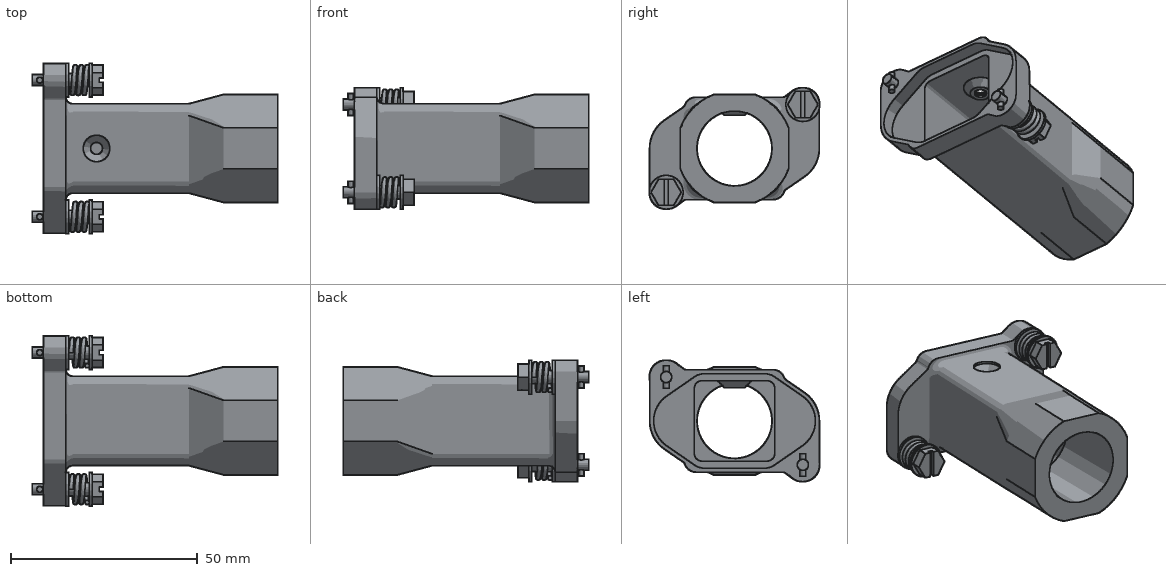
import cadquery as cq
import math


FLANGE_THICKNESS = 6.0
FLANGE_HALF_WIDTH = 22.75
FLANGE_HALF_HEIGHT = 13.75
SCREW_Y = 18.3
SCREW_Z = 11.75
LUG_RADIUS = 4.55
LUG_Y = FLANGE_HALF_WIDTH - LUG_RADIUS
NECK_ANGLE = math.radians(37.0)
NECK_FILLET = 0.9
SIDE_SLOPE = math.radians(34.6)
SIDE_RADIUS = 9.2
SIDE_CENTRE_Y = FLANGE_HALF_WIDTH - SIDE_RADIUS
SHOULDER_RADIUS = 3.2
SHOULDER_FILLET = 1.2
SHOULDER_Y = 10.28
SHOULDER_Z = FLANGE_HALF_HEIGHT - SHOULDER_RADIUS

RIM_WIDTH = 1.1
POCKET_DEPTH = 3.7
POCKET_RADIUS = SIDE_RADIUS - RIM_WIDTH
POCKET_HALF_HEIGHT = FLANGE_HALF_HEIGHT - RIM_WIDTH
POCKET_CORNER_RADIUS = 4.6

TUBE_HALF = 12.0
TUBE_CORNER_RADIUS = 3.2
TUBE_ROOT_FILLET = 1.9
TUBE_END_X = 39.0
COLLAR_START_X = 48.3
HOUSING_END_X = 62.8
COLLAR_RADIUS = 15.5
COLLAR_FLAT_HALF = 5.5
COLLAR_HALF = math.sqrt(COLLAR_RADIUS**2 - COLLAR_FLAT_HALF**2)
CAVITY_HALF = 10.75
CAVITY_CORNER_RADIUS = 2.0
BORE_DIAMETER = 20.0

SINK_X = 14.25
SINK_RADIUS = 3.55
SINK_RIM_DEPTH = 0.6
SINK_HOLE_RADIUS = 1.6
SINK_BOSS_TOP_RADIUS = 4.53
SINK_BOSS_BOTTOM_RADIUS = 2.75
SINK_BOSS_BOTTOM_Z = 8.85

PIN_DIAMETER = 3.0
PIN_TIP_X = -3.0
CROSS_PIN_DIAMETER = 1.6
CROSS_PIN_LENGTH = 6.0
CROSS_PIN_X = -0.95
WASHER_RADIUS = 4.55
FLANGE_WASHER_END_X = FLANGE_THICKNESS + 0.85
HEAD_WASHER_X = 12.3
HEAD_X = 13.05
HEAD_END_X = 16.0
HEAD_ACROSS_FLATS = 7.0
SLOT_WIDTH = 1.1
SLOT_DEPTH = 1.0
SHANK_DIAMETER = 3.6
SPRING_MEAN_RADIUS = 3.53
SPRING_WIRE_RADIUS = 0.6
SPRING_TURNS = 2.75
SPRING_BITE = 0.05

SCREW_PLACES = [(SCREW_Y, SCREW_Z), (-SCREW_Y, -SCREW_Z)]


def plane_at(x):
    """Workplane across the axis: local x is world Y, local y is world Z."""
    return cq.Workplane("YZ", origin=(x, 0, 0))


def polar(centre, radius, angle):
    """Point on a circle, with the angle measured from +Z toward -Y."""
    return (centre[0] - radius * math.sin(angle), centre[1] + radius * math.cos(angle))


def quarter_turned(point, quarters):
    """The point turned about the X axis by a number of 90 degree steps."""
    y, z = point
    for _ in range(quarters):
        y, z = -z, y
    return (y, z)


def flange_blank(depth):
    """Flange outline: two opposite screw lugs and two sloped, rounded sides."""
    lug = (LUG_Y, SCREW_Z)
    lug_side = polar(lug, LUG_RADIUS, -math.pi / 2)
    lug_middle = polar(lug, LUG_RADIUS, 0)
    neck_start = polar(lug, LUG_RADIUS, NECK_ANGLE)

    neck_corner_y = neck_start[0] - (neck_start[1] - FLANGE_HALF_HEIGHT) / math.tan(NECK_ANGLE)
    neck_tangent = NECK_FILLET * math.tan(NECK_ANGLE / 2)
    neck_end = (
        neck_corner_y + neck_tangent * math.cos(NECK_ANGLE),
        FLANGE_HALF_HEIGHT + neck_tangent * math.sin(NECK_ANGLE),
    )
    flat_start = (neck_corner_y - neck_tangent, FLANGE_HALF_HEIGHT)

    shoulder = (-SHOULDER_Y, SHOULDER_Z)
    side = (-SIDE_CENTRE_Y, 0)
    shoulder_height = SHOULDER_Z * math.cos(SIDE_SLOPE) - (shoulder[0] - side[0]) * math.sin(SIDE_SLOPE)
    fillet_reach = SIDE_RADIUS + SHOULDER_FILLET - shoulder_height
    shoulder_angle = SIDE_SLOPE + math.acos(fillet_reach / (SHOULDER_RADIUS + SHOULDER_FILLET))
    flat_end = polar(shoulder, SHOULDER_RADIUS, 0)
    shoulder_end = polar(shoulder, SHOULDER_RADIUS, shoulder_angle)
    fillet_centre = polar(shoulder, SHOULDER_RADIUS + SHOULDER_FILLET, shoulder_angle)
    slope_start = polar(fillet_centre, -SHOULDER_FILLET, SIDE_SLOPE)
    slope_end = polar(side, SIDE_RADIUS, SIDE_SLOPE)
    side_end = polar(side, SIDE_RADIUS, math.pi / 2)

    outline = plane_at(0).moveTo(*polar((SIDE_CENTRE_Y, 0), SIDE_RADIUS, -math.pi / 2))
    for quarters in (0, 2):
        outline = (
            outline.lineTo(*quarter_turned(lug_side, quarters))
            .threePointArc(quarter_turned(lug_middle, quarters), quarter_turned(neck_start, quarters))
            .lineTo(*quarter_turned(neck_end, quarters))
            .tangentArcPoint(quarter_turned(flat_start, quarters), relative=False)
            .lineTo(*quarter_turned(flat_end, quarters))
            .tangentArcPoint(quarter_turned(shoulder_end, quarters), relative=False)
            .tangentArcPoint(quarter_turned(slope_start, quarters), relative=False)
            .lineTo(*quarter_turned(slope_end, quarters))
            .tangentArcPoint(quarter_turned(side_end, quarters), relative=False)
        )
    return outline.close().extrude(depth)


def pocket():
    """Recess in the mounting face: flat top and bottom, sloped sides with round ends."""
    side_y, side_z = polar((-SIDE_CENTRE_Y, 0), POCKET_RADIUS, SIDE_SLOPE)
    corner_y = -side_y - (POCKET_HALF_HEIGHT - side_z) / math.tan(SIDE_SLOPE)
    end_y = SIDE_CENTRE_Y + POCKET_RADIUS
    blank = (
        plane_at(0)
        .moveTo(corner_y, POCKET_HALF_HEIGHT)
        .lineTo(-corner_y, POCKET_HALF_HEIGHT)
        .lineTo(side_y, side_z)
        .threePointArc((-end_y, 0), (side_y, -side_z))
        .lineTo(-corner_y, -POCKET_HALF_HEIGHT)
        .lineTo(corner_y, -POCKET_HALF_HEIGHT)
        .lineTo(-side_y, -side_z)
        .threePointArc((end_y, 0), (-side_y, side_z))
        .close()
        .extrude(POCKET_DEPTH)
    )
    corner_zone = cq.selectors.BoxSelector(
        (0, -SIDE_CENTRE_Y, -FLANGE_HALF_HEIGHT),
        (POCKET_DEPTH, SIDE_CENTRE_Y, FLANGE_HALF_HEIGHT),
    )
    return blank.edges("|X").edges(corner_zone).fillet(POCKET_CORNER_RADIUS)


def flats_and_arcs(x, half_size, flat_half, corner_radius):
    """Square-like wire: four flats joined by four arcs of the given radius."""
    chord_middle = (half_size + flat_half) / 2
    half_chord = (half_size - flat_half) / math.sqrt(2)
    sagitta = corner_radius - math.sqrt(corner_radius**2 - half_chord**2)
    bulge = chord_middle + sagitta / math.sqrt(2)
    wire = plane_at(x).moveTo(half_size, -flat_half)
    for quarters in range(4):
        flat_end = quarter_turned((half_size, flat_half), quarters)
        arc_middle = quarter_turned((bulge, bulge), quarters)
        arc_end = quarter_turned((flat_half, half_size), quarters)
        wire = wire.lineTo(*flat_end).threePointArc(arc_middle, arc_end)
    return wire.close()


def tube_section(x):
    return flats_and_arcs(x, TUBE_HALF, TUBE_HALF - TUBE_CORNER_RADIUS, TUBE_CORNER_RADIUS)


def collar_section(x):
    return flats_and_arcs(x, COLLAR_HALF, COLLAR_FLAT_HALF, COLLAR_RADIUS)


def tube_root():
    """Short tube length with a fillet into the flange, trimmed to the flange outline."""
    plate_size = 4 * FLANGE_HALF_WIDTH
    edge_zone = TUBE_ROOT_FILLET / 10
    root_end = FLANGE_THICKNESS + 2 * TUBE_ROOT_FILLET
    root = plane_at(0).rect(plate_size, plate_size).extrude(FLANGE_THICKNESS)
    root = root.union(tube_section(0).extrude(root_end))
    inner_edges = cq.selectors.BoxSelector(
        (FLANGE_THICKNESS - edge_zone, -FLANGE_HALF_HEIGHT, -FLANGE_HALF_HEIGHT),
        (FLANGE_THICKNESS + edge_zone, FLANGE_HALF_HEIGHT, FLANGE_HALF_HEIGHT),
    )
    root = root.edges(inner_edges).fillet(TUBE_ROOT_FILLET)
    return root.intersect(flange_blank(root_end))


def outer_shell():
    tube = tube_section(0).extrude(TUBE_END_X)
    transition = cq.Workplane(
        cq.Solid.makeLoft([tube_section(TUBE_END_X).val(), collar_section(COLLAR_START_X).val()], True)
    )
    collar = collar_section(COLLAR_START_X).extrude(HOUSING_END_X - COLLAR_START_X)
    return flange_blank(FLANGE_THICKNESS).union(tube_root()).union(tube).union(transition).union(collar)


def turned_about_sink(profile):
    """Revolve a (radius, Z) profile about the axis of the countersunk hole."""
    return cq.Workplane("XZ", origin=(SINK_X, 0, 0)).polyline(profile).close().revolve(360, (0, 0), (0, 1))


def sink_boss():
    return turned_about_sink([
        (0, SINK_BOSS_BOTTOM_Z),
        (SINK_BOSS_BOTTOM_RADIUS, SINK_BOSS_BOTTOM_Z),
        (SINK_BOSS_TOP_RADIUS, CAVITY_HALF),
        (SINK_BOSS_TOP_RADIUS, TUBE_HALF),
        (0, TUBE_HALF),
    ])


def sink_hole():
    """Short straight rim, 90 degree cone and a small through hole."""
    cone_top = TUBE_HALF - SINK_RIM_DEPTH
    cone_bottom = cone_top - (SINK_RADIUS - SINK_HOLE_RADIUS)
    return turned_about_sink([
        (0, SINK_BOSS_BOTTOM_Z),
        (SINK_HOLE_RADIUS, SINK_BOSS_BOTTOM_Z),
        (SINK_HOLE_RADIUS, cone_bottom),
        (SINK_RADIUS, cone_top),
        (SINK_RADIUS, TUBE_HALF),
        (0, TUBE_HALF),
    ])


def make_housing():
    cavity = flats_and_arcs(0, CAVITY_HALF, CAVITY_HALF - CAVITY_CORNER_RADIUS, CAVITY_CORNER_RADIUS)
    return (
        outer_shell()
        .cut(pocket())
        .cut(cavity.extrude(TUBE_END_X))
        .cut(plane_at(0).circle(BORE_DIAMETER / 2).extrude(HOUSING_END_X))
        .union(sink_boss())
        .cut(sink_hole())
        .cut(plane_at(0).pushPoints(SCREW_PLACES).circle(PIN_DIAMETER / 2).extrude(FLANGE_THICKNESS))
    )


def cylinder_along_x(x_start, x_end, radius):
    return plane_at(x_start).circle(radius).extrude(x_end - x_start)


def spring():
    """Left-handed coil that starts at -Z on one washer and ends on the other."""
    start_x = FLANGE_WASHER_END_X + SPRING_WIRE_RADIUS - SPRING_BITE
    end_x = HEAD_WASHER_X - SPRING_WIRE_RADIUS + SPRING_BITE
    length = end_x - start_x
    coil_plane = cq.Plane(origin=(start_x, 0, 0), xDir=(0, 0, -1), normal=(1, 0, 0))
    path = cq.Wire.makeHelix(length / SPRING_TURNS, length, SPRING_MEAN_RADIUS, lefthand=True)
    coil = (
        cq.Workplane("XZ", origin=(SPRING_MEAN_RADIUS, 0, 0))
        .circle(SPRING_WIRE_RADIUS)
        .sweep(cq.Workplane(path), isFrenet=True)
    )
    return cq.Workplane(coil.val().moved(coil_plane.location))


def make_spring_screw():
    """Slotted hex screw with washers, spring and cross pin, centred on the X axis."""
    corner_diameter = HEAD_ACROSS_FLATS / math.cos(math.pi / 6)
    head = plane_at(HEAD_X).polygon(6, corner_diameter).extrude(HEAD_END_X - HEAD_X)
    slot = plane_at(HEAD_END_X - SLOT_DEPTH).rect(SLOT_WIDTH, corner_diameter).extrude(SLOT_DEPTH)
    cross_pin = (
        cq.Workplane("XY", origin=(CROSS_PIN_X, 0, 0))
        .circle(CROSS_PIN_DIAMETER / 2)
        .extrude(CROSS_PIN_LENGTH / 2, both=True)
    )
    return (
        cylinder_along_x(PIN_TIP_X, FLANGE_THICKNESS, PIN_DIAMETER / 2)
        .union(cross_pin)
        .union(cylinder_along_x(FLANGE_THICKNESS, HEAD_X, SHANK_DIAMETER / 2))
        .union(cylinder_along_x(FLANGE_THICKNESS, FLANGE_WASHER_END_X, WASHER_RADIUS))
        .union(cylinder_along_x(HEAD_WASHER_X, HEAD_X, WASHER_RADIUS))
        .union(head.cut(slot))
        .union(spring())
    )


housing = make_housing()
spring_screw = make_spring_screw()
spring_screws = [spring_screw.translate((0, y, z)) for y, z in SCREW_PLACES]

result = cq.Compound.makeCompound([housing.val(), *[screw.val() for screw in spring_screws]])